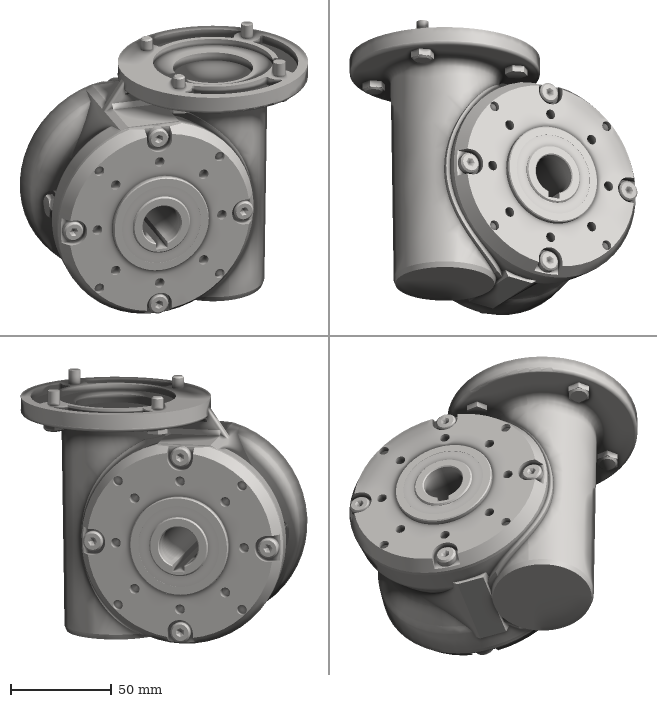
import cadquery as cq
import math


face_x = 37.4
face_r = 47.3
rim_r = 51.25
rim_outer_x = 31.1
rim_inner_x = 29.2
shoulder_x = 17.7
shoulder_r = 50.1
flank_x = 13.9
flank_r = 48.3
waist_x = 5.2
waist_flank_r = 43.4
waist_r = 42.3
shoulder_round_sag = 0.25
cap_top_z = 49.4
deck_z = 49.8
deck_front_y = -13.8
deck_back_y = 12.8

web_half_width = 29.0
lower_web_half_width = 21.0
upper_web_angle = 144.2
lower_web_angle = 236.5
web_slope_top_z = 48.1
lower_web_heel_z = -50.6

worm_y = 40.0
tube_top_r = 27.2
tube_bottom_r = 25.7
tube_bottom_z = -52.0
tube_chamfer = 1.0
tube_chamfer_height = 2.6
neck_fillet = 4.0
deck_fillet = 2.2
collar_r = 55.2
collar_offset_y = -2.6
collar_tube_gap = 1.3

flange_r = 47.5
flange_top_z = 67.0
flange_thick = 9.0
flange_bottom_z = flange_top_z - flange_thick
flange_edge_fillet = 1.9
spigot_r = 30.0
spigot_depth = 3.2
motor_bore_r = 20.0
motor_bore_depth = 4.2
pocket_outer_r = 42.6
pocket_inner_r = 32.9
pocket_depth = 4.2
pocket_stud_gap_r = 6.6
pocket_corner_r = 1.0

stud_offset = 26.35
stud_r = 3.0
far_stud_top_z = 74.01
near_stud_top_z = 73.0
stud_chamfer = 0.7
nut_flats = 10.0
nut_turn = 15.0
nut_embed = 0.2
nut_base_z = flange_bottom_z + nut_embed
nut_bottom_z = 54.8
far_tip_r = 5.0
far_tip_bottom_z = 53.8
far_tip_chamfer = 0.9

rib_half_width = 2.6
rib_crest_y = -7.0
rib_crest_z = 63.8
rib_toe_y = -17.7
rib_toe_z = 48.1
rib_top_round = 1.2
rib_foot_half_width = 4.6
rib_foot_height = 2.4
rib_head_half_width = 4.2
rib_head_height = 1.8
rib_root_y = worm_y - tube_top_r

boss_r = 25.0
boss_x = 40.3
boss_chamfer = 0.5
seal_r = 20.6
seal_recess = 0.15
hub_r = 15.0
hub_x = 41.1
hub_chamfer = 0.7
bore_r = 10.0
bore_chamfer = 0.5
key_width = 6.0
key_depth = 12.8

hole_r = 2.5
tapped_count = 8
tapped_circle_r = 32.6
tapped_depth = 8.0
drill_half_angle = 59.0
dowel_count = 4
dowel_start_angle = 45
dowel_circle_r = 44.6
dowel_depth = 3.0
screw_count = 4
screw_circle_r = 44.6
screw_pocket_r = 6.6
screw_pocket_floor_x = 32.6
screw_pocket_reach_r = 50.3
screw_head_r = 5.1
screw_head_top_x = 36.6
screw_head_chamfer = 0.9
screw_head_embed = 1.0
screw_socket_flats = 4.0
screw_socket_depth = 1.6
screw_socket_taper = 50.0

plug_seat_r = 8.0
plug_seat_taper = 35.0
plug_pad_r = 7.5
plug_pad_embed = 2.5
plug_seat_y = -43.3
plug_head_flats = 10.0
plug_head_end_y = -47.1
plug_chamfer = 0.6


def hexagon_diameter(flats):
    return flats / math.cos(math.pi / 6)


def disc_x(radius, x_start, x_end):
    """Cylinder about the X axis."""
    return cq.Workplane("YZ").workplane(offset=x_start).circle(radius).extrude(x_end - x_start)


def disc_z(radius, z_start, z_end, y=0.0, x=0.0):
    """Upright cylinder at (x, y)."""
    plane = cq.Workplane("XY").workplane(offset=z_start).center(x, y)
    return plane.circle(radius).extrude(z_end - z_start)


def both_ends(body):
    """Body plus its mirror image in the YZ plane."""
    return body.union(body.mirror("YZ"))


def make_housing_ring():
    mid_shoulder_x = (shoulder_x + flank_x) / 2
    mid_shoulder_r = (shoulder_r + flank_r) / 2 + shoulder_round_sag
    profile = (
        cq.Workplane("XY")
        .moveTo(-face_x, 0)
        .lineTo(-face_x, face_r)
        .lineTo(-rim_outer_x, rim_r)
        .lineTo(-rim_inner_x, rim_r)
        .lineTo(-shoulder_x, shoulder_r)
        .threePointArc((-mid_shoulder_x, mid_shoulder_r), (-flank_x, flank_r))
        .lineTo(-waist_x, waist_flank_r)
        .threePointArc((0, waist_r), (waist_x, waist_flank_r))
        .lineTo(flank_x, flank_r)
        .threePointArc((mid_shoulder_x, mid_shoulder_r), (shoulder_x, shoulder_r))
        .lineTo(rim_inner_x, rim_r)
        .lineTo(rim_outer_x, rim_r)
        .lineTo(face_x, face_r)
        .lineTo(face_x, 0)
        .close()
    )
    ring = profile.revolve(360, (0, 0, 0), (1, 0, 0))
    size = 4 * rim_r
    above_deck = cq.Workplane("XY").box(size, size, size).translate((0, 0, cap_top_z + size / 2))
    return ring.cut(above_deck)


def make_upper_web():
    """Filler below the deck; its sloping front is tangent to the waist."""
    tangent_angle = math.radians(upper_web_angle)
    tangent_y = waist_r * math.cos(tangent_angle)
    tangent_z = waist_r * math.sin(tangent_angle)
    slope_top_y = tangent_y + (web_slope_top_z - tangent_z) * -tangent_z / tangent_y
    points = [
        (tangent_y, tangent_z),
        (slope_top_y, web_slope_top_z),
        (deck_front_y, deck_z),
        (deck_back_y, deck_z),
        (worm_y, 0),
        (0, 0),
    ]
    return cq.Workplane("YZ").polyline(points).close().extrude(web_half_width, both=True)


def make_lower_web():
    """Filler between tube and housing; its underside is tangent to the waist."""
    tangent_angle = math.radians(lower_web_angle)
    tangent_y = waist_r * math.cos(tangent_angle)
    tangent_z = waist_r * math.sin(tangent_angle)
    apex_z = tube_bottom_z
    apex_y = tangent_y + (apex_z - tangent_z) * -tangent_z / tangent_y
    heel_y = worm_y - tube_bottom_r + tube_chamfer
    points = [
        (tangent_y, tangent_z),
        (apex_y, apex_z),
        (heel_y, lower_web_heel_z),
        (worm_y, 0),
        (0, 0),
    ]
    return cq.Workplane("YZ").polyline(points).close().extrude(lower_web_half_width, both=True)


def make_tube():
    """Tapered worm tube with a filleted neck up to the flange."""
    neck_z = flange_bottom_z - neck_fillet
    fillet_mid = neck_fillet * (1 - math.sqrt(0.5))
    profile = (
        cq.Workplane("XZ")
        .moveTo(0, tube_bottom_z)
        .lineTo(tube_bottom_r - tube_chamfer, tube_bottom_z)
        .lineTo(tube_bottom_r, tube_bottom_z + tube_chamfer_height)
        .lineTo(tube_top_r, neck_z)
        .threePointArc(
            (tube_top_r + fillet_mid, flange_bottom_z - fillet_mid),
            (tube_top_r + neck_fillet, flange_bottom_z),
        )
        .lineTo(0, flange_bottom_z)
        .close()
    )
    return profile.revolve(360, (0, 0, 0), (0, 1, 0)).translate((0, worm_y, 0))


def make_collar():
    """Band around the tube where it runs into the housing."""
    band = disc_x(collar_r, -rim_inner_x, rim_inner_x).translate((0, collar_offset_y, 0))
    around_tube = disc_z(tube_top_r + collar_tube_gap, tube_bottom_z + tube_chamfer_height, deck_z, worm_y)
    return band.intersect(around_tube)


def make_deck_fillet():
    """Sloped fillet between the deck and the tube."""
    top_z = deck_z + deck_fillet
    profile = [
        (0, deck_z),
        (tube_top_r + deck_fillet, deck_z),
        (tube_top_r, top_z),
        (0, top_z),
    ]
    cone = cq.Workplane("XZ").polyline(profile).close().revolve(360, (0, 0, 0), (0, 1, 0))
    deck_length = deck_back_y - deck_front_y
    over_deck = cq.Workplane("XY").box(2 * web_half_width, deck_length, 2 * deck_fillet)
    over_deck = over_deck.translate((0, deck_back_y - deck_length / 2, deck_z + deck_fillet))
    return cone.translate((0, worm_y, 0)).intersect(over_deck)


def make_flange():
    flange = disc_z(flange_r, flange_bottom_z, flange_top_z, worm_y)
    return flange.faces("<Z").edges().fillet(flange_edge_fillet)


def make_arc_pocket(mid_angle):
    """Ring segment pocket whose ends run around the neighbouring studs."""
    floor_z = flange_top_z - pocket_depth
    ring = disc_z(pocket_outer_r, floor_z, flange_top_z).cut(disc_z(pocket_inner_r, floor_z, flange_top_z))
    reach = 2 * pocket_outer_r
    quarter = (
        cq.Workplane("XY")
        .workplane(offset=floor_z)
        .polyline([(0, 0), (reach, -reach), (reach, reach)])
        .close()
        .extrude(pocket_depth)
    )
    pocket = ring.intersect(quarter)
    for side in (-1, 1):
        pocket = pocket.cut(disc_z(pocket_stud_gap_r, floor_z, flange_top_z, side * stud_offset, stud_offset))
    pocket = pocket.edges("|Z").fillet(pocket_corner_r)
    return pocket.rotate((0, 0, 0), (0, 0, 1), mid_angle).translate((0, worm_y, 0))


def cut_flange_recesses(body):
    spigot_floor_z = flange_top_z - spigot_depth
    body = body.cut(disc_z(spigot_r, spigot_floor_z, flange_top_z, worm_y))
    body = body.cut(disc_z(motor_bore_r, spigot_floor_z - motor_bore_depth, spigot_floor_z, worm_y))
    for mid_angle in (0, 90, 180):
        body = body.cut(make_arc_pocket(mid_angle))
    return body


def make_nut():
    height = nut_base_z - nut_bottom_z
    nut = cq.Workplane("XY").workplane(offset=nut_bottom_z)
    nut = nut.polygon(6, hexagon_diameter(nut_flats)).extrude(height)
    return nut.rotate((0, 0, 0), (0, 0, 1), nut_turn)


def make_studs():
    near_stud = disc_z(stud_r, flange_bottom_z, near_stud_top_z).faces(">Z").edges().chamfer(stud_chamfer)
    far_stud = disc_z(stud_r, flange_bottom_z, far_stud_top_z)
    near = near_stud.union(make_nut())
    far_tip = disc_z(far_tip_r, far_tip_bottom_z, nut_bottom_z).faces("<Z").edges().chamfer(far_tip_chamfer)
    far = far_stud.union(make_nut()).union(far_tip)
    studs = cq.Workplane("XY")
    for side in (-1, 1):
        studs = studs.add(near.translate((side * stud_offset, worm_y - stud_offset, 0)))
        studs = studs.add(far.translate((side * stud_offset, worm_y + stud_offset, 0)))
    return studs


def make_rib_flare(wide_half_width, wide_z, narrow_z, front_y):
    """Tapered widening of the rib where it joins the deck or the flange."""
    section = [
        (-wide_half_width, wide_z),
        (-rib_half_width, narrow_z),
        (rib_half_width, narrow_z),
        (wide_half_width, wide_z),
    ]
    plane = cq.Workplane("XZ", origin=(0, rib_root_y, 0))
    return plane.polyline(section).close().extrude(rib_root_y - front_y)


def make_rib():
    """Sloping rib from the flange edge down to the deck."""
    outline = [
        (rib_root_y, rib_toe_z),
        (rib_toe_y, rib_toe_z),
        (rib_crest_y, rib_crest_z),
        (rib_root_y, rib_crest_z),
    ]
    rib = cq.Workplane("YZ").polyline(outline).close().extrude(rib_half_width, both=True)
    rib = rib.faces("<Y").edges("not |X").fillet(rib_top_round)

    foot = make_rib_flare(rib_foot_half_width, deck_z, deck_z + rib_foot_height, deck_front_y)
    head = make_rib_flare(rib_head_half_width, flange_bottom_z, flange_bottom_z - rib_head_height, rib_crest_y)
    return rib.union(foot).union(head)


def add_output_hub(body):
    """Bosses, hub ends, keyed bore."""
    boss = disc_x(boss_r, 0, boss_x).faces(">X").edges().chamfer(boss_chamfer)
    boss = boss.cut(disc_x(seal_r, boss_x - seal_recess, boss_x))
    hub = disc_x(hub_r, 0, hub_x).faces(">X").edges().chamfer(hub_chamfer)
    body = body.union(both_ends(boss.union(hub)))

    bore = disc_x(bore_r, -hub_x, hub_x)
    mouth = cq.Workplane(
        cq.Solid.makeCone(
            bore_r,
            bore_r + bore_chamfer,
            bore_chamfer,
            pnt=cq.Vector(hub_x - bore_chamfer, 0, 0),
            dir=cq.Vector(1, 0, 0),
        )
    )
    key_seat = cq.Workplane("XY").box(2 * hub_x, key_width, key_depth).translate((0, 0, -key_depth / 2))
    return body.cut(bore).cut(both_ends(mouth)).cut(key_seat)


def make_tapped_hole():
    """Blind hole with a conical bottom, bored from the +X face."""
    profile = [
        (face_x - tapped_depth, 0),
        (face_x - tapped_depth + hole_r / math.tan(math.radians(drill_half_angle)), hole_r),
        (face_x, hole_r),
        (face_x, 0),
    ]
    return cq.Workplane("XY").polyline(profile).close().revolve(360, (0, 0, 0), (1, 0, 0))


def on_end_faces(feature, circle_r, first_angle, count):
    """Copies of a +X face feature on a bolt circle, on both ends."""
    copies = cq.Workplane("XY")
    step = 360.0 / count
    for index in range(count):
        copy = feature.translate((0, circle_r, 0))
        copy = copy.rotate((0, 0, 0), (1, 0, 0), first_angle + index * step)
        copies = copies.add(copy)
        copies = copies.add(copy.mirror("YZ"))
    return copies


def make_screw_pocket():
    """U-shaped pocket open to the rim."""
    depth = face_x - screw_pocket_floor_x
    reach = screw_pocket_reach_r - screw_circle_r
    channel = cq.Workplane("XY").box(depth, reach, 2 * screw_pocket_r)
    channel = channel.translate((screw_pocket_floor_x + depth / 2, reach / 2, 0))
    return disc_x(screw_pocket_r, screw_pocket_floor_x, face_x).union(channel)


def make_screw_head():
    head = disc_x(screw_head_r, screw_pocket_floor_x - screw_head_embed, screw_head_top_x)
    head = head.faces(">X").edges().chamfer(screw_head_chamfer)
    socket = (
        cq.Workplane("YZ")
        .workplane(offset=screw_head_top_x)
        .polygon(6, hexagon_diameter(screw_socket_flats))
        .extrude(-screw_socket_depth, taper=screw_socket_taper)
    )
    return head.cut(socket)


def union_all(body, features):
    for feature in features.vals():
        body = body.union(feature)
    return body


def cut_all(body, features):
    for feature in features.vals():
        body = body.cut(feature)
    return body


def add_end_face_details(body):
    dowel_hole = disc_x(hole_r, face_x - dowel_depth, face_x)
    body = cut_all(body, on_end_faces(make_tapped_hole(), tapped_circle_r, 0, tapped_count))
    body = cut_all(body, on_end_faces(dowel_hole, dowel_circle_r, dowel_start_angle, dowel_count))
    body = cut_all(body, on_end_faces(make_screw_pocket(), screw_circle_r, 0, screw_count))
    return union_all(body, on_end_faces(make_screw_head(), screw_circle_r, 0, screw_count))


def add_oil_plug(body):
    seat_plane = cq.Workplane("XZ", origin=(0, plug_seat_y, 0))
    seat = seat_plane.circle(plug_seat_r).extrude(rim_r + plug_seat_y, taper=-plug_seat_taper)
    pad = seat_plane.circle(plug_pad_r).extrude(-plug_pad_embed)
    diameter = hexagon_diameter(plug_head_flats)
    start_y = plug_seat_y + plug_pad_embed
    length = start_y - plug_head_end_y
    head = cq.Workplane("XZ", origin=(0, start_y, 0)).polygon(6, diameter).extrude(length)
    turned = cq.Workplane("XZ", origin=(0, start_y, 0)).circle(diameter / 2).extrude(length)
    turned = turned.faces("<Y").edges().chamfer(plug_chamfer)
    return body.cut(seat).union(pad).union(head.intersect(turned))


def build():
    body = make_housing_ring().union(make_upper_web()).union(make_lower_web())
    body = body.union(make_collar()).union(make_tube()).union(make_deck_fillet()).union(make_rib())
    body = body.union(make_flange())
    body = cut_flange_recesses(body)
    body = union_all(body, make_studs())
    body = add_output_hub(body)
    body = add_end_face_details(body)
    return add_oil_plug(body)


result = build()